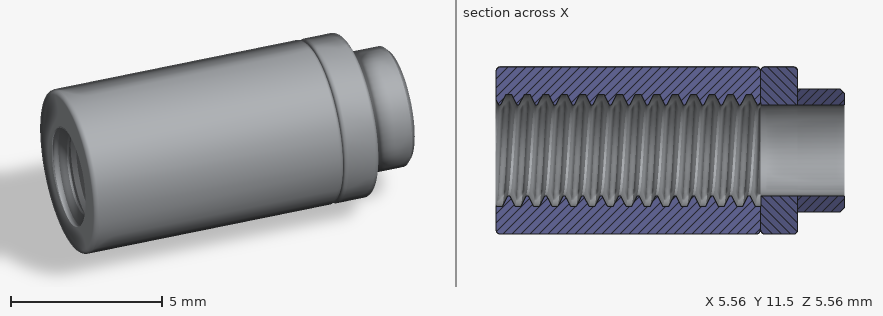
import cadquery as cq

total_length = 11.53
boss_length = 1.55
ring_length = 1.23
sleeve_length = total_length - boss_length - ring_length

outer_radius = 2.78
boss_radius = 2.04
bore_radius = 1.5
edge_radius = 0.15
boss_chamfer = 0.15

thread_pitch = 0.61
thread_root_radius = 1.85
groove_mouth_width = 7 / 8 * thread_pitch
groove_root_width = 0.3 * thread_pitch
thread_start_angle = 200.0
thread_overrun = 1.5 * thread_pitch
mouth_overlap = 0.03


def tube(radius, length):
    """Plain tube around Z, standing on Z = 0."""
    return cq.Workplane("XY").circle(radius).circle(bore_radius).extrude(length)


def round_outer_edges(body):
    """Round both outer rims of a tube around Z."""
    rims = body.faces("<Z or >Z").edges(cq.selectors.RadiusNthSelector(-1))
    return rims.fillet(edge_radius)


def make_thread_cutter():
    """Right-handed helical groove that overruns both sleeve ends."""
    mouth_radius = bore_radius - mouth_overlap
    flank_run = (groove_mouth_width - groove_root_width) / 2
    flank_slope = flank_run / (thread_root_radius - bore_radius)
    mouth_half = groove_mouth_width / 2 + mouth_overlap * flank_slope
    root_half = groove_root_width / 2
    helix = cq.Wire.makeHelix(thread_pitch, sleeve_length + 2 * thread_overrun, bore_radius)
    profile = cq.Workplane("XZ").polyline([
        (mouth_radius, -mouth_half),
        (thread_root_radius, -root_half),
        (thread_root_radius, root_half),
        (mouth_radius, mouth_half),
    ]).close()
    groove = profile.sweep(cq.Workplane(obj=helix), isFrenet=True)
    return groove.rotate((0, 0, 0), (0, 0, 1), thread_start_angle).translate((0, 0, -thread_overrun))


def make_sleeve():
    """Threaded sleeve: the thread is cut into a solid blank, then the bore opens its crests."""
    blank = cq.Workplane("XY").circle(outer_radius).extrude(sleeve_length)
    bore = cq.Workplane("XY").circle(bore_radius).extrude(sleeve_length)
    return round_outer_edges(blank).cut(make_thread_cutter()).cut(bore)


def make_ring():
    return round_outer_edges(tube(outer_radius, ring_length))


def make_boss():
    rear_rim = tube(boss_radius, boss_length).faces(">Z").edges(cq.selectors.RadiusNthSelector(-1))
    return rear_rim.chamfer(boss_chamfer)


def place_along_y(body, front_y):
    """Turn a body from the Z axis onto +Y and set its front face at front_y."""
    return body.rotate((0, 0, 0), (1, 0, 0), -90).translate((0, front_y, 0))


sleeve = place_along_y(make_sleeve(), 0)
ring = place_along_y(make_ring(), sleeve_length)
boss = place_along_y(make_boss(), sleeve_length + ring_length)

result = cq.Compound.makeCompound([*sleeve.vals(), *ring.vals(), *boss.vals()])